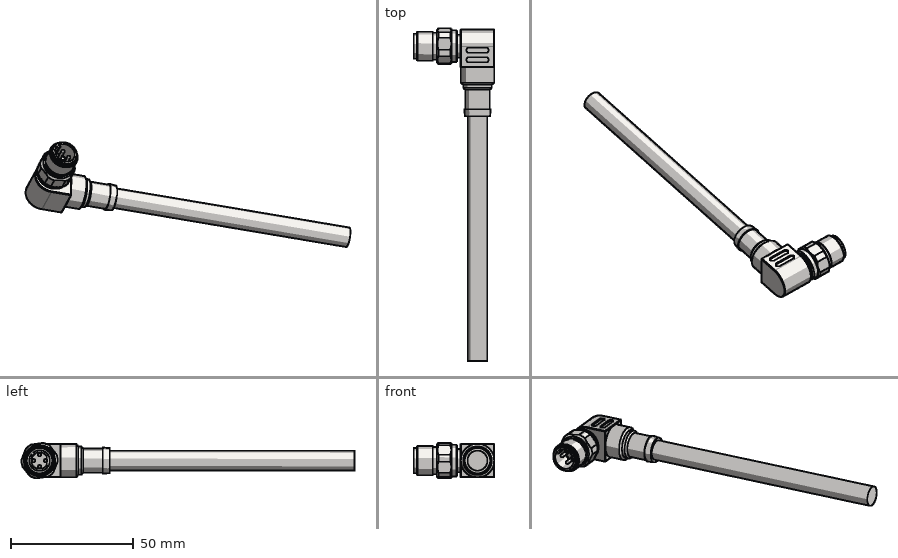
import cadquery as cq
import math

OVERALL_LENGTH = 136.3

NUT_SIDES = 6
NUT_DIAMETER = 14.9
NUT_ACROSS_FLATS = 14.0
NUT_TILT = 8.0
NUT_START = 9.4
NUT_FULL_START = 10.2
NUT_END = 15.5
NUT_BACK_CHAMFER = 0.5
NUT_FACE_RADIUS = 6.4

NOSE_RADIUS = 5.2
NOSE_LENGTH = 1.2
THREAD_CHAMFER = 0.4
THREAD_RADIUS = 6.0
THREAD_END = 7.9
RELIEF_RADIUS = 5.6
NUT_COLLAR_RADIUS = 6.5
NUT_COLLAR_END = 18.0
NUT_COLLAR_CHAMFER = 0.5
NECK_RADIUS = 4.8

SOCKET_RADIUS = 4.2
SOCKET_DEPTH = 8.2
KEY_TIP_RADIUS = 3.3
KEY_WIDTH = 1.2
KEY_ANGLE = 45
INSERT_RADIUS = 3.4
INSERT_FLAT_DISTANCE = 3.0
INSERT_HEIGHT = 0.7
PIN_COUNT = 4
PIN_RADIUS = 0.7
PIN_TIP_FILLET = 0.5
PIN_CIRCLE_RADIUS = 2.5
PIN_RECESS = 2.0

BODY_START = 19.2
BODY_WIDTH = 13.9
BODY_HEIGHT = 13.8
BODY_REACH = 8.7
BODY_EDGE_CHAMFER = 0.3

SLOT_COUNT = 2
SLOT_LENGTH = 9.1
SLOT_WIDTH = 2.2
SLOT_DEPTH = 0.7
FIRST_SLOT_OFFSET = 1.6
SLOT_PITCH = 4.0

COLLAR_RADIUS = BODY_HEIGHT / 2
COLLAR_END = 15.0
RING_RADIUS = 5.9
RING_START = 15.8
RING_END = 17.0
SLEEVE_RADIUS = 5.0
SLEEVE_START = 17.9
LIP_RADIUS = 5.5
LIP_START = 25.9
SLEEVE_END_RADIUS = 5.2
SLEEVE_END = 28.8
CABLE_RADIUS = 4.1

PLUG_AXIS_Y = OVERALL_LENGTH - NUT_DIAMETER / 2
CABLE_AXIS_X = BODY_START + BODY_WIDTH / 2


def plug_plane(x):
    """Plane across the plug axis at x, facing +X, with local x along +Y."""
    return cq.Plane(origin=(x, PLUG_AXIS_Y, 0), xDir=(0, 1, 0), normal=(1, 0, 0))


def turned_plug():
    """Nose, thread, relief, nut blank, nut collar and neck turned about the plug axis."""
    nut_radius = NUT_DIAMETER / 2
    profile = [
        (0, 0),
        (0, NOSE_RADIUS),
        (NOSE_LENGTH, NOSE_RADIUS),
        (NOSE_LENGTH, THREAD_RADIUS - THREAD_CHAMFER),
        (NOSE_LENGTH + THREAD_CHAMFER, THREAD_RADIUS),
        (THREAD_END, THREAD_RADIUS),
        (THREAD_END, RELIEF_RADIUS),
        (NUT_START, RELIEF_RADIUS),
        (NUT_START, NUT_FACE_RADIUS),
        (NUT_FULL_START, nut_radius),
        (NUT_END - NUT_BACK_CHAMFER, nut_radius),
        (NUT_END, nut_radius - NUT_BACK_CHAMFER),
        (NUT_END, NUT_COLLAR_RADIUS),
        (NUT_COLLAR_END - NUT_COLLAR_CHAMFER, NUT_COLLAR_RADIUS),
        (NUT_COLLAR_END, NUT_COLLAR_RADIUS - NUT_COLLAR_CHAMFER),
        (NUT_COLLAR_END, NECK_RADIUS),
        (CABLE_AXIS_X, NECK_RADIUS),
        (CABLE_AXIS_X, 0),
    ]
    turned = cq.Workplane("XY").polyline(profile).close().revolve(360, (0, 0), (1, 0))
    return turned.translate((0, PLUG_AXIS_Y, 0))


def nut_flat_cutter():
    """Everything outside the hexagon over the length of the nut."""
    corner_diameter = NUT_ACROSS_FLATS / math.cos(math.pi / NUT_SIDES)
    length = NUT_END - NUT_START
    blank = cq.Workplane(plug_plane(NUT_START)).circle(NUT_DIAMETER).extrude(length)
    hexagon = cq.Workplane(plug_plane(NUT_START)).polygon(NUT_SIDES, corner_diameter).extrude(length)
    plug_axis = ((0, PLUG_AXIS_Y, 0), (1, PLUG_AXIS_Y, 0))
    return blank.cut(hexagon.rotate(*plug_axis, -NUT_TILT))


def socket():
    """Blind bore in the plug, interrupted by the coding key along its wall."""
    bore = cq.Workplane(plug_plane(0)).circle(SOCKET_RADIUS).extrude(SOCKET_DEPTH)
    key_height = SOCKET_RADIUS - KEY_TIP_RADIUS
    key = (
        cq.Workplane(plug_plane(0))
        .transformed(rotate=(0, 0, KEY_ANGLE))
        .center(KEY_TIP_RADIUS + key_height / 2, 0)
        .rect(key_height, KEY_WIDTH)
        .extrude(SOCKET_DEPTH)
    )
    return bore.cut(key)


def contact_insert():
    """Raised disc on the socket floor with a flat on its -Y side."""
    half_flat = math.sqrt(INSERT_RADIUS**2 - INSERT_FLAT_DISTANCE**2)
    return (
        cq.Workplane(plug_plane(SOCKET_DEPTH - INSERT_HEIGHT))
        .moveTo(-INSERT_FLAT_DISTANCE, -half_flat)
        .threePointArc((INSERT_RADIUS, 0), (-INSERT_FLAT_DISTANCE, half_flat))
        .close()
        .extrude(INSERT_HEIGHT)
    )


def contact_pins():
    """Round-tipped pins standing on the socket floor."""
    pins = (
        cq.Workplane(plug_plane(PIN_RECESS))
        .polarArray(PIN_CIRCLE_RADIUS, 0, 360, PIN_COUNT)
        .circle(PIN_RADIUS)
        .extrude(SOCKET_DEPTH - PIN_RECESS)
    )
    return pins.faces("<X").edges().fillet(PIN_TIP_FILLET)


def elbow_body():
    """Block whose end away from the cable is rounded about the plug axis."""
    radius = BODY_HEIGHT / 2
    body = (
        cq.Workplane(plug_plane(BODY_START))
        .moveTo(-BODY_REACH, -radius)
        .lineTo(0, -radius)
        .threePointArc((radius, 0), (0, radius))
        .lineTo(-BODY_REACH, radius)
        .close()
        .extrude(BODY_WIDTH)
    )
    return body.faces("<X or >X or <Y").edges().chamfer(BODY_EDGE_CHAMFER)


def grip_slots():
    """Round-ended slots sunk into the top face."""
    first_y = PLUG_AXIS_Y - FIRST_SLOT_OFFSET
    centres = [(CABLE_AXIS_X, first_y - i * SLOT_PITCH) for i in range(SLOT_COUNT)]
    return (
        cq.Workplane("XY", origin=(0, 0, BODY_HEIGHT / 2))
        .pushPoints(centres)
        .slot2D(SLOT_LENGTH, SLOT_WIDTH)
        .extrude(-SLOT_DEPTH)
    )


def turned_cable_side():
    """Collar, ring, sleeve and cable turned about the cable axis."""
    profile = [
        (0, BODY_REACH),
        (COLLAR_RADIUS, BODY_REACH),
        (COLLAR_RADIUS, COLLAR_END),
        (RING_RADIUS, RING_START),
        (RING_RADIUS, RING_END),
        (SLEEVE_RADIUS, SLEEVE_START),
        (SLEEVE_RADIUS, LIP_START),
        (LIP_RADIUS, LIP_START),
        (SLEEVE_END_RADIUS, SLEEVE_END),
        (CABLE_RADIUS, SLEEVE_END),
        (CABLE_RADIUS, PLUG_AXIS_Y),
        (0, PLUG_AXIS_Y),
    ]
    points = [(radius, -distance) for radius, distance in profile]
    turned = cq.Workplane("XY").polyline(points).close().revolve(360, (0, 0), (0, 1))
    return turned.translate((CABLE_AXIS_X, PLUG_AXIS_Y, 0))


plug = turned_plug().cut(nut_flat_cutter()).cut(socket())
plug = plug.union(contact_insert()).union(contact_pins())
body = elbow_body().cut(grip_slots())
result = plug.union(body).union(turned_cable_side())